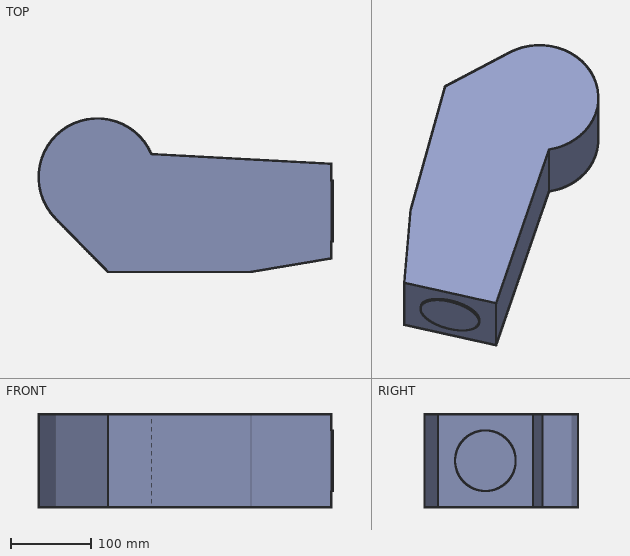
import cadquery as cq
import math

height = 116.0
total_length = 366.0
total_width = 191.0
head_radius = 73.2
pad_thickness = 2.0
pad_diameter = 75.5

front_y = head_radius - total_width
end_x = total_length - head_radius - pad_thickness
front_left_x = 13.0
front_right_x = 191.0
end_front_y = -101.0
end_back_y = 17.0
neck_y = 29.0
neck_x = math.sqrt(head_radius**2 - neck_y**2)

corner_distance = math.hypot(front_left_x, front_y)
corner_angle = math.atan2(front_y, front_left_x)
tangent_angle = corner_angle - math.acos(head_radius / corner_distance)
tangent_x = head_radius * math.cos(tangent_angle)
tangent_y = head_radius * math.sin(tangent_angle)


def make_body():
    """Prism with a round head and a tapering arm."""
    return (
        cq.Workplane("XY")
        .moveTo(tangent_x, tangent_y)
        .lineTo(front_left_x, front_y)
        .lineTo(front_right_x, front_y)
        .lineTo(end_x, end_front_y)
        .lineTo(end_x, end_back_y)
        .lineTo(neck_x, neck_y)
        .threePointArc((0, head_radius), (tangent_x, tangent_y))
        .close()
        .extrude(height)
    )


def make_end_pad():
    """Thin round pad centred on the flat end of the arm."""
    pad_center = (end_x, (end_front_y + end_back_y) / 2, height / 2)
    return (
        cq.Workplane("YZ", origin=pad_center)
        .circle(pad_diameter / 2)
        .extrude(pad_thickness)
    )


result = make_body().union(make_end_pad())